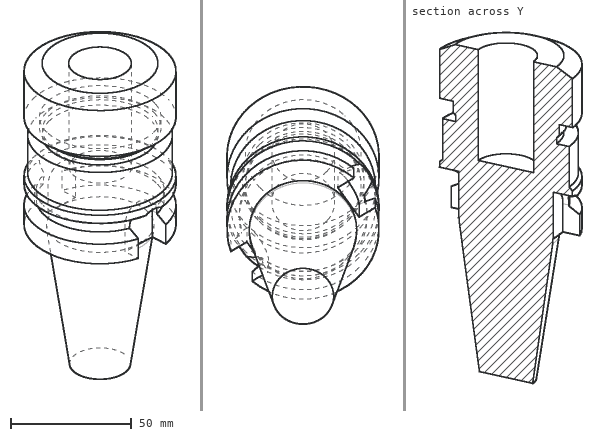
import cadquery as cq
import math


gauge_radius = 44.45 / 2
shank_length = 65.4
taper_per_length = 7 / 24
shank_end_radius = gauge_radius - shank_length * taper_per_length / 2

flange_radius = 63 / 2
flange_bottom = 2.0
flange_top = 27.0
groove_radius = 53 / 2
groove_middle = 16.5
groove_mouth_width = 10.0
groove_wall_angle = 30.0
groove_wall_height = (flange_radius - groove_radius) * math.tan(math.radians(groove_wall_angle))
groove_mouth_bottom = groove_middle - groove_mouth_width / 2
groove_mouth_top = groove_middle + groove_mouth_width / 2

body_radius = 30.0
body_top = 45.3
flange_chamfer = flange_radius - body_radius
relief_radius = 24.0
neck_radius = 25.2
neck_chamfer = neck_radius - relief_radius
neck_bottom = 49.1
nut_radius = flange_radius
nut_bottom = 54.0
nut_top = 80.0
nut_face_radius = 24.0
nut_chamfer_height = 3.8

bore_radius = 13.0
bore_depth = 50.0

slot_width = 16.1
slot_top = 22.9
slot_floor_distance = 22.5


def revolved_body():
    """Solid of revolution; each point is (radius, height)."""
    outline = [
        (0, -shank_length),
        (shank_end_radius, -shank_length),
        (gauge_radius, 0),
        (gauge_radius, flange_bottom),
        (flange_radius, flange_bottom),
        (flange_radius, groove_mouth_bottom),
        (groove_radius, groove_mouth_bottom + groove_wall_height),
        (groove_radius, groove_mouth_top - groove_wall_height),
        (flange_radius, groove_mouth_top),
        (flange_radius, flange_top - flange_chamfer),
        (body_radius, flange_top),
        (body_radius, body_top),
        (relief_radius, body_top),
        (relief_radius, neck_bottom - neck_chamfer),
        (neck_radius, neck_bottom),
        (neck_radius, nut_bottom),
        (nut_radius, nut_bottom),
        (nut_radius, nut_top - nut_chamfer_height),
        (nut_face_radius, nut_top),
        (0, nut_top),
    ]
    return cq.Workplane("XZ").polyline(outline).close().revolve(360, (0, 0), (0, 1))


def collet_bore():
    """Flat-bottomed bore entering from the nut face."""
    return cq.Workplane("XY").workplane(offset=nut_top - bore_depth).circle(bore_radius).extrude(bore_depth)


def drive_slot(turn):
    """Round-topped slot, open at the flange bottom, turned about Z from +X."""
    half_width = slot_width / 2
    arch_start = slot_top - half_width
    slot_depth = flange_radius - slot_floor_distance
    return (
        cq.Workplane("YZ", origin=(slot_floor_distance, 0, 0))
        .moveTo(-half_width, flange_bottom)
        .lineTo(half_width, flange_bottom)
        .lineTo(half_width, arch_start)
        .threePointArc((0, slot_top), (-half_width, arch_start))
        .close()
        .extrude(slot_depth)
        .rotate((0, 0, 0), (0, 0, 1), turn)
    )


result = revolved_body().cut(collet_bore())
for slot_turn in (0, 180):
    result = result.cut(drive_slot(slot_turn))